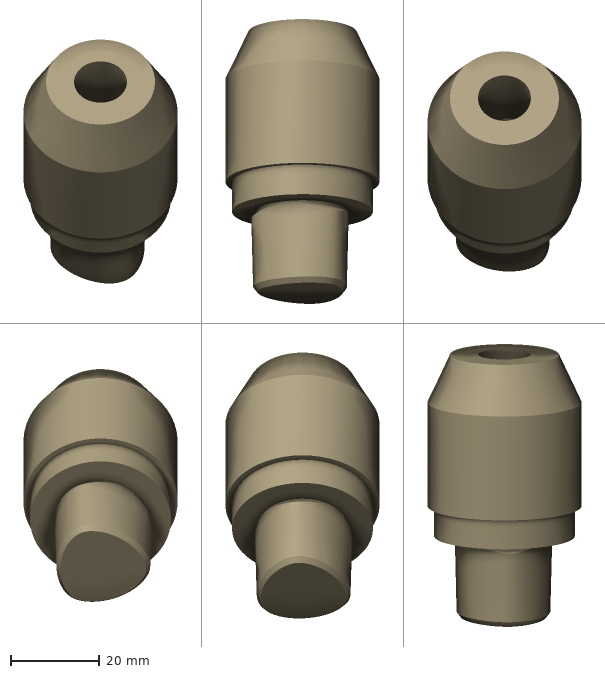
import cadquery as cq
import math

total_length = 61.0
body_diameter = 35.0
collar_diameter = 32.0
nose_diameter = 24.75
nose_length = 11.0
body_length = 24.05
collar_length = 6.95
shank_length = total_length - nose_length - body_length - collar_length

bore_diameter = 12.0
bore_depth = 36.6
screw_diameter = 8.8
screw_chamfer = 1.6
screw_tip_x = 4.45
screw_height = 37.8

lobe_mean_radius = 11.1
lobe_height = 0.7
taper_per_side = 1 / 40
end_chamfer_width = 0.9
end_chamfer_length = 1.2
neck_radius = 10.5
neck_length = 0.6
curve_points = 48


def lobed_wire(mean_radius, z):
    """Smooth three-lobed outline: the envelope of lines at mean_radius + lobe_height * cos(3t)."""
    points = []
    for i in range(curve_points):
        angle = 2 * math.pi * i / curve_points
        support = mean_radius + lobe_height * math.cos(3 * angle)
        slope = -3 * lobe_height * math.sin(3 * angle)
        x = support * math.cos(angle) - slope * math.sin(angle)
        y = support * math.sin(angle) + slope * math.cos(angle)
        points.append(cq.Vector(x, y, z))
    return cq.Wire.assembleEdges([cq.Edge.makeSpline(points, periodic=True)])


def lobed_frustum(bottom_radius, bottom_z, top_radius, top_z):
    bottom = lobed_wire(bottom_radius, bottom_z)
    top = lobed_wire(top_radius, top_z)
    return cq.Workplane(cq.Solid.makeLoft([bottom, top], True))


def make_body():
    body_radius = body_diameter / 2
    collar_radius = collar_diameter / 2
    body_bottom = shank_length + collar_length
    return (
        cq.Workplane("XZ")
        .moveTo(0, shank_length)
        .lineTo(collar_radius, shank_length)
        .lineTo(collar_radius, body_bottom)
        .lineTo(body_radius, body_bottom)
        .lineTo(body_radius, body_bottom + body_length)
        .lineTo(nose_diameter / 2, total_length)
        .lineTo(0, total_length)
        .close()
        .revolve(360, (0, 0), (0, 1))
    )


def make_shank():
    edge_radius = lobe_mean_radius - taper_per_side * (shank_length - end_chamfer_length)
    chamfer = lobed_frustum(edge_radius - end_chamfer_width, 0, edge_radius, end_chamfer_length)
    taper = lobed_frustum(edge_radius, end_chamfer_length, lobe_mean_radius, shank_length)
    trim_radius = body_diameter / 2
    neck_bottom = shank_length - neck_length
    turned_limit = (
        cq.Workplane("XZ")
        .lineTo(trim_radius, 0)
        .lineTo(trim_radius, neck_bottom - (trim_radius - neck_radius))
        .lineTo(neck_radius, neck_bottom)
        .lineTo(neck_radius, shank_length)
        .lineTo(0, shank_length)
        .close()
        .revolve(360, (0, 0), (0, 1))
    )
    return chamfer.union(taper.intersect(turned_limit))


def make_bore():
    return (
        cq.Workplane("XY", origin=(0, 0, total_length - bore_depth))
        .circle(bore_diameter / 2)
        .extrude(bore_depth)
    )


def make_screw():
    screw_length = nose_diameter / 2 - screw_tip_x
    return (
        cq.Workplane("YZ", origin=(screw_tip_x, 0, screw_height))
        .circle(screw_diameter / 2)
        .extrude(screw_length)
        .faces("<X")
        .chamfer(screw_chamfer)
    )


result = make_body().union(make_shank()).cut(make_bore()).union(make_screw())